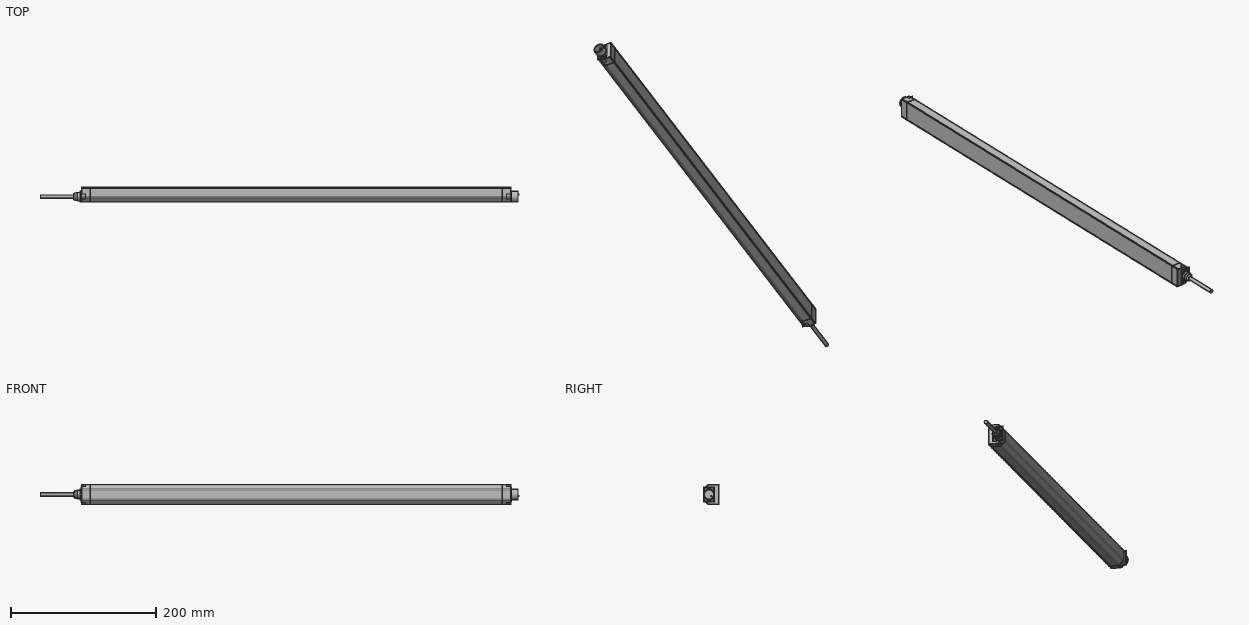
import cadquery as cq
import math

housing_length = 592.5
half_height = 14.0
back_y = 10.515
front_y = -10.5
bevel_start_y = -4.0
bevel_drop = bevel_start_y - front_y
front_half_height = half_height - bevel_drop
bevel_rounding = 2.5
back_groove_y = 9.0
back_groove_width = 1.0
back_groove_depth = 0.3
end_edge_chamfer = 0.7

cap_length = 12.0
joint_width = 0.5
joint_depth = 0.3
notch_length = 6.0
notch_width = 7.0
notch_depth = 0.2

axis_y = -3.015
flange_half_width = 7.5
flange_half_height = 10.5
flange_thickness = 0.6
flange_bevel_depth = 0.5
flange_bevel_width = 1.5

bushing_collar_radius = 7.5
bushing_collar_face = 1.6
bushing_neck_radius = 6.0
bushing_neck_face = 5.0
nose_radius = 5.5
nose_shoulder = 7.0
nose_bend_radius = 5.1
nose_bend = 9.0
nose_tip_radius = 3.5
nose_tip = 11.0

rod_radius = 2.5
rod_reach = 56.4
rod_seat = cap_length

connector_radius = 7.5
connector_bore_radius = 6.5
connector_length = 9.8
pin_radius = 0.7
pin_y = 0.0
pin_z = -2.0
overall_length = 659.93
pin_end = overall_length - rod_reach


def rounded_bar(length, inset=0.0):
    """Bar of the housing section pulled in evenly by `inset`, with its bevel edges rounded."""
    bevel_shift = inset * math.tan(math.pi / 8)
    top = half_height - inset
    back = back_y - inset
    front = front_y + inset
    upper = [
        (back, top),
        (bevel_start_y + bevel_shift, top),
        (front, front_half_height - bevel_shift),
    ]
    lower = [(y, -z) for y, z in reversed(upper)]
    bar = cq.Workplane("YZ").polyline(upper + lower).close().extrude(length)
    return bar.edges("|X").edges("not >Y").fillet(bevel_rounding - inset)


def axis_cylinder(radius, start, end, y=axis_y, z=0.0):
    """Cylinder along X from `start` to `end`."""
    return cq.Workplane("YZ", origin=(start, y, z)).circle(radius).extrude(end - start)


def skin(start, length, depth):
    """Outer layer of the housing section, `depth` thick."""
    layer = rounded_bar(length).cut(rounded_bar(length, depth))
    return layer.translate((start, 0, 0))


def notch(start, side):
    """Shallow recess across the top (side = 1) or bottom (side = -1) bevel of an end cap."""
    block = cq.Workplane("XY").box(notch_length, notch_width, half_height).translate(
        (start + notch_length / 2, axis_y, side * half_height)
    )
    return block.intersect(skin(start, notch_length, notch_depth))


def back_groove(side):
    """Lengthwise groove in the top (side = 1) or bottom (side = -1) face near the back."""
    return cq.Workplane("XY").box(housing_length, back_groove_width, 2 * back_groove_depth).translate(
        (housing_length / 2, back_groove_y, side * half_height)
    )


def make_flange():
    """Thin rectangular plate on the left end, bevelled around its outer face."""
    plate = cq.Workplane("YZ", origin=(-flange_thickness, axis_y, 0)).rect(
        2 * flange_half_width, 2 * flange_half_height
    ).extrude(flange_thickness)
    return plate.faces("<X").chamfer(flange_bevel_depth, flange_bevel_width)


def make_bushing():
    """Stepped collar with a tapered nose, turned around the rod axis on the left end."""
    outline = [
        (0, 0),
        (0, bushing_collar_radius),
        (-bushing_collar_face, bushing_collar_radius),
        (-bushing_collar_face, bushing_neck_radius),
        (-bushing_neck_face, bushing_neck_radius),
        (-bushing_neck_face, nose_radius),
        (-nose_shoulder, nose_radius),
        (-nose_bend, nose_bend_radius),
        (-nose_tip, nose_tip_radius),
        (-nose_tip, 0),
    ]
    turned = cq.Workplane("XY").polyline(outline).close().revolve(360, (0, 0, 0), (1, 0, 0))
    return turned.translate((0, axis_y, 0))


def make_connector():
    """Round open socket on the right end with one pin reaching past its rim."""
    end = housing_length + connector_length
    shell = axis_cylinder(connector_radius, housing_length, end)
    bore = axis_cylinder(connector_bore_radius, housing_length, end)
    pin = axis_cylinder(pin_radius, housing_length, pin_end, pin_y, pin_z)
    return shell.cut(bore).union(pin)


def make_housing():
    """Profile with end caps, flanges, bushing and connector, bored for the rod."""
    body = rounded_bar(housing_length).faces("<X or >X").chamfer(end_edge_chamfer)
    for side in (1, -1):
        body = body.cut(back_groove(side))
    for start in (cap_length, housing_length - cap_length - joint_width):
        body = body.cut(skin(start, joint_width, joint_depth))
    for start in (0, housing_length - notch_length):
        for side in (1, -1):
            body = body.cut(notch(start, side))
    left_flange = make_flange()
    right_flange = left_flange.mirror("YZ").translate((housing_length, 0, 0))
    body = body.union(left_flange).union(right_flange)
    body = body.union(make_bushing()).union(make_connector())
    return body.cut(axis_cylinder(rod_radius, -nose_tip, rod_seat))


def make_rod():
    """Plain round rod seated in the housing's blind bore."""
    return axis_cylinder(rod_radius, -rod_reach, rod_seat)


housing = make_housing()
rod = make_rod()
result = cq.Compound.makeCompound([housing.val(), rod.val()])